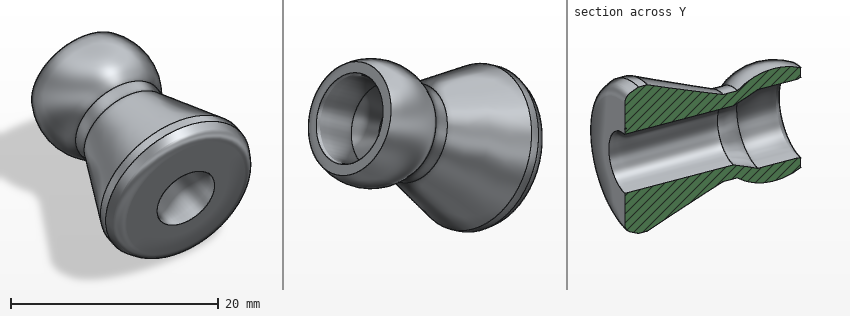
import cadquery as cq
import math

length = 19.23
neck_end = 8.5
flare_end = 16.77
rim_end = 17.73

ball_radius = 6.3
ball_face_radius = 5.58
neck_radius = 4.88
rim_radius = 8.2

rim_taper_angle = math.radians(25)
edge_radius = 1.15

mouth_radius = 4.5
bore_radius = 4.37
throat_radius = 3.27
mouth_depth = 0.42
bore_depth = 4.71
funnel_end = 7.38

ball_center = math.sqrt(ball_radius**2 - ball_face_radius**2)
neck_start = ball_center + math.sqrt(ball_radius**2 - neck_radius**2)

edge_center_x = length - edge_radius
edge_start_x = edge_center_x + edge_radius * math.sin(rim_taper_angle)
edge_start_radius = rim_radius - (edge_start_x - rim_end) * math.tan(rim_taper_angle)
far_face_radius = edge_start_radius - edge_radius * math.cos(rim_taper_angle)
edge_mid_angle = (rim_taper_angle + math.pi / 2) / 2
edge_mid = (
    edge_center_x + edge_radius * math.sin(edge_mid_angle),
    far_face_radius + edge_radius * math.cos(edge_mid_angle),
)


def revolve_about_x(profile):
    return profile.close().revolve(360, (0, 0, 0), (1, 0, 0))


def outer_body():
    profile = (
        cq.Workplane("XY")
        .lineTo(0, ball_face_radius)
        .threePointArc((ball_center, ball_radius), (neck_start, neck_radius))
        .lineTo(neck_end, neck_radius)
        .lineTo(flare_end, rim_radius)
        .lineTo(rim_end, rim_radius)
        .lineTo(edge_start_x, edge_start_radius)
        .threePointArc(edge_mid, (length, far_face_radius))
        .lineTo(length, 0)
    )
    return revolve_about_x(profile)


def bore():
    profile = (
        cq.Workplane("XY")
        .lineTo(0, mouth_radius)
        .lineTo(mouth_depth, bore_radius)
        .lineTo(bore_depth, bore_radius)
        .lineTo(funnel_end, throat_radius)
        .lineTo(length, throat_radius)
        .lineTo(length, 0)
    )
    return revolve_about_x(profile)


result = outer_body().cut(bore())